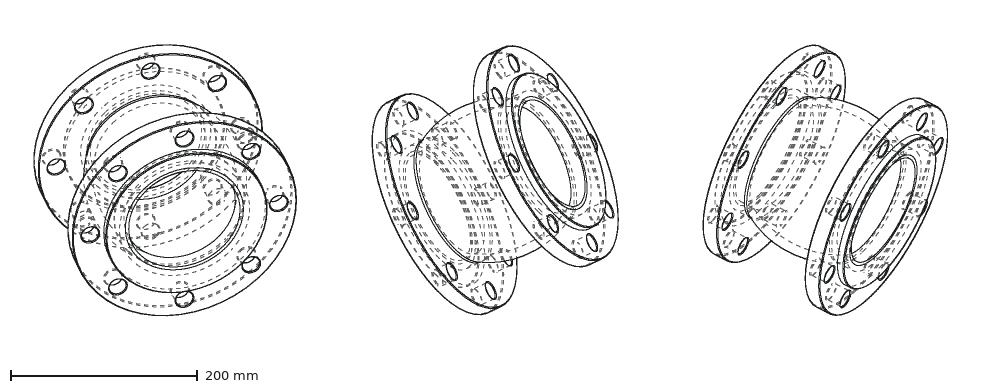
import cadquery as cq
import math


overall_length = 166.0
edge_chamfer = 1.0

flange_diameter = 250.0
flange_thickness = 19.0
flange_bore_diameter = 145.0
bolt_count = 8
bolt_hole_diameter = 19.0
bolt_circle_diameter = 210.0

lip_diameter = 180.0
lip_thickness = 8.0
bulge_diameter = 173.0
neck_length = 3.0
bore_diameter = 124.0
mouth_width = 20.0
mouth_depth = 8.8
mouth_throat_diameter = 131.5
wall_thickness = (flange_bore_diameter - bore_diameter) / 2
inner_bulge_diameter = bulge_diameter - 2 * wall_thickness

end_x = overall_length / 2
flange_outer_x = end_x - lip_thickness
flange_inner_x = flange_outer_x - flange_thickness
bulge_end_x = flange_inner_x - neck_length
mouth_end_x = end_x - mouth_depth


def make_bellows():
    """Revolve the bulged sleeve with a lip at each end, then cut its waterway."""
    neck_radius = flange_bore_diameter / 2
    lip_radius = lip_diameter / 2
    sleeve = (
        cq.Workplane("XZ")
        .moveTo(-end_x, 0)
        .lineTo(-end_x, lip_radius - edge_chamfer)
        .lineTo(-end_x + edge_chamfer, lip_radius)
        .lineTo(-flange_outer_x, lip_radius)
        .lineTo(-flange_outer_x, neck_radius)
        .lineTo(-bulge_end_x, neck_radius)
        .threePointArc((0, bulge_diameter / 2), (bulge_end_x, neck_radius))
        .lineTo(flange_outer_x, neck_radius)
        .lineTo(flange_outer_x, lip_radius)
        .lineTo(end_x - edge_chamfer, lip_radius)
        .lineTo(end_x, lip_radius - edge_chamfer)
        .lineTo(end_x, 0)
        .close()
        .revolve(360, (0, 0, 0), (1, 0, 0))
    )
    throat_radius = mouth_throat_diameter / 2
    bore_radius = bore_diameter / 2
    mouth_outer_radius = throat_radius + mouth_width
    rounding_radius = (mouth_width**2 + mouth_depth**2) / (2 * mouth_depth)
    half_sweep = math.asin(mouth_width / rounding_radius) / 2
    arc_x = end_x - rounding_radius * (1 - math.cos(half_sweep))
    arc_radius = mouth_outer_radius - rounding_radius * math.sin(half_sweep)
    waterway = (
        cq.Workplane("XZ")
        .moveTo(-end_x, 0)
        .lineTo(-end_x, mouth_outer_radius)
        .threePointArc((-arc_x, arc_radius), (-mouth_end_x, throat_radius))
        .lineTo(-mouth_end_x, bore_radius)
        .lineTo(-flange_inner_x, bore_radius)
        .threePointArc((0, inner_bulge_diameter / 2), (flange_inner_x, bore_radius))
        .lineTo(mouth_end_x, bore_radius)
        .lineTo(mouth_end_x, throat_radius)
        .threePointArc((arc_x, arc_radius), (end_x, mouth_outer_radius))
        .lineTo(end_x, 0)
        .close()
        .revolve(360, (0, 0, 0), (1, 0, 0))
    )
    return sleeve.cut(waterway)


def make_flange(start_x):
    """Make a drilled ring that extends from start_x in +X, with bolt holes chamfered at both faces."""
    disc = (
        cq.Workplane("YZ", origin=(start_x, 0, 0))
        .circle(flange_diameter / 2)
        .extrude(flange_thickness)
        .faces("<X or >X")
        .edges()
        .chamfer(edge_chamfer)
    )
    bore = (
        cq.Workplane("YZ", origin=(start_x, 0, 0))
        .circle(flange_bore_diameter / 2)
        .extrude(flange_thickness)
    )
    hole_radius = bolt_hole_diameter / 2
    mouth = hole_radius + edge_chamfer
    bolt_hole = (
        cq.Workplane("XY")
        .moveTo(start_x, 0)
        .lineTo(start_x, mouth)
        .lineTo(start_x + edge_chamfer, hole_radius)
        .lineTo(start_x + flange_thickness - edge_chamfer, hole_radius)
        .lineTo(start_x + flange_thickness, mouth)
        .lineTo(start_x + flange_thickness, 0)
        .close()
        .revolve(360, (0, 0, 0), (1, 0, 0))
        .translate((0, 0, bolt_circle_diameter / 2))
    )
    flange = disc.cut(bore)
    for index in range(bolt_count):
        angle = index * 360 / bolt_count
        flange = flange.cut(bolt_hole.rotate((0, 0, 0), (1, 0, 0), angle))
    return flange


bellows = make_bellows()
flanges = [make_flange(start_x) for start_x in (-flange_outer_x, flange_inner_x)]

result = cq.Compound.makeCompound([bellows.val(), *[flange.val() for flange in flanges]])